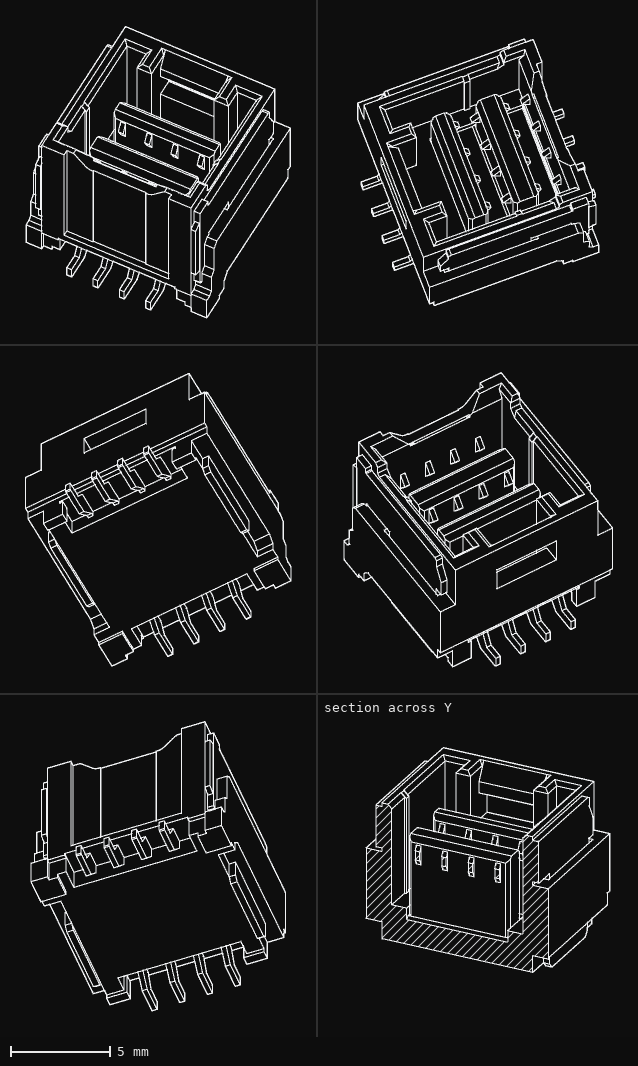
import cadquery as cq


housing_half = 4.25
housing_back = 9.14
rim_z = 8.02
front_z = 8.82
underside_z = 0.33
foot_z = 0.08
lower_back = 8.89
lower_back_z = 2.03
tower_back = 1.79
tower_chamfer = 0.2
tower_foot = 0.16

cavity_half = 3.69
cavity_front = 0.99
cavity_back = 8.21
floor_z = 2.39
lead_in = 0.22
front_lead_in_depth = 0.4
front_lead_in_height = 0.68
lead_in_split = 2.17

rib_inner = 1.78
rib_outer = 2.6
rib_tip = 7.24
rib_tip_bevel = 0.17
rib_root_inset = 0.11
scoop_top_y = 8.77
scoop_bottom_z = 7.06
window_bottom_z = 4.93
window_top_z = 6.42

notch_top_half = 2.59
notch_z = 8.01
notch_fillet = 0.49
notch_chamfer = 0.09
panel_half = 2.98
panel_depth = 0.3
panel_bottom_z = 2.03
panel_center_half = 1.5
panel_center_depth = 0.35

key_front = 3.65
key_back = 3.95
key_inner = 3.6
key_bevel = 0.27

tongue_half = 2.84
tongue_top_z = 6.4
tongue_chamfer = 0.3
tongue_corner = 0.17
tongue_spans = ((5.03, 6.11), (2.33, 3.69))
pocket_z = 1.74
pocket_front = 1.12
ledge_half = 3.15
ledge_back = 1.07
ledge_height = 0.22
flare_height = 0.16
flares = ((tongue_spans[0][0], -0.17), (tongue_spans[1][0], -0.13), (tongue_spans[1][1], 0.13))

overall_width = 10.3
flange_half = overall_width / 2
flange_top_z = 5.27
flange_bottom_z = 1.36

bay_half = 3.32
bay_top_z = 1.54
bay_depth = 1.3
foot_top_z = 1.42
foot_setback = 0.22
front_foot_back = 1.4
rear_foot_front = 8.42
front_foot_inner = 3.79
rear_foot_inner = 3.15

lead_pitch = 1.5
lead_count = 4
lead_width = 0.27
lead_height = 0.67
lead_front = -0.86
overall_depth = 10.85
lead_back = lead_front + overall_depth
lead_bend_run = 0.42
lead_underside_run = 0.98
lead_foot_length = 0.59
lead_corner = 0.05
lead_root_above = 0.11
lead_root_below = 0.43
contact_top_z = 5.99
contact_tip_z = 5.46
contact_reach = 0.26
contact_root = 0.16
opposite_reach = 0.42

clip_half = 4.6
clip_front = 0.34
clip_tail_front = 3.44
clip_tail_back = 7.7
clip_tail_z = 0.04
clip_gap_z = 5.45
clip_leg_z = 2.2
clip_leg_chamfer = 0.11
clip_top_z = 8.16
clip_shoulder_z = 7.81
clip_tail_chamfer = 0.24
clip_tail_chamfer_top = 0.33
clip_leg_back = 1.28
slot_half = 4.69
slot_front = 3.09
slot_back = 8.15
slot_depth = 0.54
bulge_inner = 4.29
bulge_outer = 4.56
bulge_front = -0.08
bulge_root = 0.22
bulge_top_z = 7.31
bulge_bottom_z = 3.29


def block(x0, x1, y0, y1, z0, z1):
    """Box between opposite corners."""
    return cq.Workplane("XY").box(x1 - x0, y1 - y0, z1 - z0, centered=False).translate((x0, y0, z0))


def side_prism(points, x0, x1):
    """Outline of (Y, Z) points extruded from x0 to x1."""
    return cq.Workplane("YZ").polyline(points).close().extrude(x1 - x0).translate((x0, 0, 0))


def flared(x0, x1, y0, y1, z0, height, grow_x, grow_y):
    """Block whose X and Y sides lean out by the given amounts from bottom to top."""
    base = cq.Workplane("XY", origin=((x0 + x1) / 2, (y0 + y1) / 2, z0)).rect(x1 - x0, y1 - y0)
    top = base.workplane(offset=height).rect(x1 - x0 + 2 * grow_x, y1 - y0 + 2 * grow_y)
    return top.loft(ruled=True)


def both_sides(shape):
    """Shape together with its mirror image in X."""
    return shape.union(shape.mirror("YZ"))


def make_shell():
    outline = [
        (0, underside_z), (lower_back, underside_z), (lower_back, lower_back_z),
        (housing_back, lower_back_z), (housing_back, rim_z), (tower_back + tower_foot, rim_z),
        (tower_back, rim_z + tower_foot), (tower_back, front_z - tower_chamfer),
        (tower_back - tower_chamfer, front_z), (0, front_z),
    ]
    return side_prism(outline, -housing_half, housing_half)


def cut_cavity(body):
    cavity = block(-cavity_half, cavity_half, cavity_front, cavity_back, floor_z, front_z)
    rear_bevel = flared(-cavity_half, cavity_half, lead_in_split, cavity_back,
                        rim_z - lead_in, lead_in, lead_in, lead_in)
    side_bevel = flared(-cavity_half, cavity_half, 0, lead_in_split,
                        front_z - lead_in, lead_in, lead_in, 0)
    side_bevel = side_bevel.union(block(-cavity_half, cavity_half, 0, lead_in_split,
                                        rim_z - lead_in, front_z - lead_in))
    front_slope = side_prism([
        (cavity_front, front_z - front_lead_in_height), (lead_in_split, front_z - front_lead_in_height),
        (lead_in_split, front_z), (cavity_front - front_lead_in_depth, front_z),
    ], -housing_half, housing_half)
    return body.cut(cavity).cut(rear_bevel).cut(front_slope.intersect(side_bevel))


def add_guide_ribs(body):
    root = housing_back - rib_root_inset
    ribs = block(rib_inner, rib_outer, rib_tip, root, floor_z, rim_z - lead_in)
    ribs = ribs.union(flared(rib_inner, rib_outer, rib_tip, root,
                             rim_z - lead_in, lead_in, -lead_in, -rib_tip_bevel))
    body = body.union(both_sides(ribs))
    bevel = flared(-rib_inner, rib_inner, rib_tip - lead_in, scoop_top_y - lead_in,
                   rim_z - lead_in, lead_in, lead_in, lead_in)
    scoop = side_prism([
        (cavity_back, scoop_bottom_z), (scoop_top_y, rim_z), (cavity_back, rim_z),
    ], -rib_inner, rib_inner)
    window = block(-rib_inner, rib_inner, cavity_back, housing_back, window_bottom_z, window_top_z)
    return body.cut(bevel).cut(scoop).cut(window)


def cut_front_wall(body):
    notch_bottom_half = notch_top_half - (front_z - notch_z)
    outline = [
        (-notch_bottom_half, notch_z), (notch_bottom_half, notch_z),
        (notch_top_half, front_z), (-notch_top_half, front_z),
    ]
    notch = cq.Workplane("XZ").polyline(outline).close().extrude(-cavity_front)
    notch = notch.edges("|Y and <Z").fillet(notch_fillet)
    edge_chamfer = side_prism([
        (cavity_front, notch_z - notch_chamfer), (cavity_front, notch_z),
        (cavity_front - notch_chamfer, notch_z),
    ], -notch_bottom_half, notch_bottom_half)
    panel = block(-panel_half, panel_half, 0, panel_depth, panel_bottom_z, front_z)
    center = block(-panel_center_half, panel_center_half, 0, panel_center_depth,
                   panel_bottom_z, front_z)
    return body.cut(notch).cut(edge_chamfer).cut(panel).cut(center)


def finish_floor(body):
    """Sink the contact pocket and add a low ledge along the front wall."""
    pocket = block(-tongue_half, tongue_half, pocket_front, tongue_spans[0][1], pocket_z, floor_z)
    ledge = block(-ledge_half, ledge_half, cavity_front, ledge_back, floor_z, floor_z + ledge_height)
    return body.cut(pocket).union(ledge)


def make_keys():
    outline = [
        (key_inner, floor_z), (key_inner, rim_z - key_bevel), (key_inner + key_bevel, rim_z),
        (cavity_half + lead_in, rim_z), (cavity_half + lead_in, floor_z),
    ]
    key = cq.Workplane("XZ").polyline(outline).close().extrude(key_front - key_back)
    return both_sides(key.translate((0, key_front, 0)))


def make_tongue(front, back):
    tongue = block(-tongue_half, tongue_half, front, back, pocket_z, tongue_top_z)
    tongue = tongue.edges(">Z and |X").chamfer(tongue_chamfer)
    corners = block(-tongue_half, tongue_half, front, back, pocket_z, tongue_top_z)
    return tongue.intersect(corners.edges("|Z").chamfer(tongue_corner))


def make_pocket_flare(face, run):
    """Sloped foot that widens a tongue face by the run at the pocket floor."""
    return side_prism([
        (face - run, pocket_z), (face + run, pocket_z),
        (face, pocket_z + flare_height), (face - run, pocket_z + flare_height),
    ], -tongue_half, tongue_half)


def make_flange():
    outline = [
        (0, foot_z), (0, 1.56), (0.31, 1.56), (0.51, 1.77), (0.51, 2.92), (0.81, 3.2),
        (0.81, 4.99), (1.11, flange_top_z), (housing_back, flange_top_z),
        (housing_back, lower_back_z), (lower_back, lower_back_z),
        (lower_back, flange_bottom_z), (2.28, flange_bottom_z), (1.91, 0.93),
        (1.91, underside_z), (front_foot_back, underside_z), (front_foot_back, foot_z),
    ]
    flange = side_prism(outline, housing_half, flange_half)
    slot = side_prism([
        (slot_front, flange_top_z), (clip_tail_front, flange_top_z - slot_depth),
        (slot_back, flange_top_z - slot_depth), (slot_back, flange_top_z),
    ], housing_half, slot_half)
    return both_sides(flange.cut(slot))


def make_clip():
    outline = [
        (clip_front, clip_leg_z + clip_leg_chamfer), (clip_front + clip_leg_chamfer, clip_leg_z),
        (clip_leg_back, clip_leg_z), (clip_leg_back, clip_gap_z),
        (clip_tail_front, clip_gap_z), (clip_tail_front, clip_tail_chamfer_top),
        (clip_tail_front + clip_tail_chamfer, clip_tail_z),
        (clip_tail_back - clip_tail_chamfer, clip_tail_z), (clip_tail_back, clip_tail_chamfer_top),
        (clip_tail_back, flange_bottom_z),
        (7.87, flange_bottom_z), (7.87, clip_gap_z), (8.34, clip_gap_z), (8.34, 6.42),
        (7.91, 7.25), (7.91, 7.73), (7.75, clip_shoulder_z), (1.25, clip_shoulder_z), (1.19, 7.87),
        (1.19, clip_top_z), (clip_front, clip_top_z),
    ]
    root = clip_front + bulge_root
    bulge = [
        (root, bulge_top_z), (clip_front, bulge_top_z), (bulge_front, 7.12),
        (bulge_front, 3.46), (clip_front, bulge_bottom_z), (root, bulge_bottom_z),
    ]
    clip = side_prism(outline, housing_half, clip_half)
    return both_sides(clip.union(side_prism(bulge, bulge_inner, bulge_outer)))


def cut_lead_bays(body):
    front_bay = block(-housing_half, housing_half, 0, foot_setback, 0, foot_top_z)
    front_bay = front_bay.union(block(-bay_half, bay_half, 0, bay_depth, 0, bay_top_z))
    rear_bay = block(-bay_half, bay_half, lower_back - bay_depth, housing_back, 0, bay_top_z)
    return body.cut(front_bay).cut(rear_bay)


def make_feet():
    front = block(front_foot_inner, housing_half, foot_setback, front_foot_back, foot_z, foot_top_z)
    front_shoulder = block(bay_half, front_foot_inner, foot_setback, front_foot_back,
                           underside_z, foot_top_z)
    rear = block(rear_foot_inner, housing_half, rear_foot_front, lower_back, foot_z, foot_top_z)
    return both_sides(front.union(front_shoulder).union(rear))


def lead_outline(tip, bend, inward):
    """Bent lead from its tip to its root, heading in Y along the inward sign."""
    top = bend + inward * lead_bend_run
    root = top + inward * bay_depth
    root_top_z = bay_top_z + lead_root_above
    root_bottom_z = bay_top_z - lead_root_below
    return [
        (tip, lead_corner), (tip, lead_height), (bend, lead_height), (top, bay_top_z),
        (top, root_top_z), (root, root_top_z), (root, root_bottom_z),
        (top + inward * lead_underside_run, root_bottom_z),
        (bend + inward * lead_foot_length, 0), (tip + inward * lead_corner, 0),
    ]


def make_contacts():
    """Outlines of the leads and springs that share one X position."""
    outlines = [
        lead_outline(lead_front, 0, 1),
        lead_outline(lead_back, housing_back, -1),
    ]
    drop = contact_top_z - contact_tip_z
    facing_walls = (tongue_spans[1][1], cavity_front)
    for (face, _), wall in zip(tongue_spans, facing_walls):
        for surface, reach in ((face, -contact_reach), (wall, opposite_reach)):
            root = surface + contact_root * (1 if reach < 0 else -1)
            outlines.append([
                (root, contact_top_z), (surface, contact_top_z),
                (surface + reach, contact_tip_z), (surface, contact_tip_z - drop),
                (root, contact_tip_z - drop),
            ])
    return outlines


body = cut_lead_bays(make_shell())
body = cut_front_wall(cut_cavity(body))
body = add_guide_ribs(body)
body = finish_floor(body)
body = body.union(make_keys())
for tongue_front, tongue_back in tongue_spans:
    body = body.union(make_tongue(tongue_front, tongue_back))
for tongue_face, flare_run in flares:
    body = body.union(make_pocket_flare(tongue_face, flare_run))
body = body.union(make_flange()).union(make_feet()).union(make_clip())
for index in range(lead_count):
    center_x = (index - (lead_count - 1) / 2) * lead_pitch
    for outline in make_contacts():
        body = body.union(side_prism(outline, center_x - lead_width / 2, center_x + lead_width / 2))

result = body